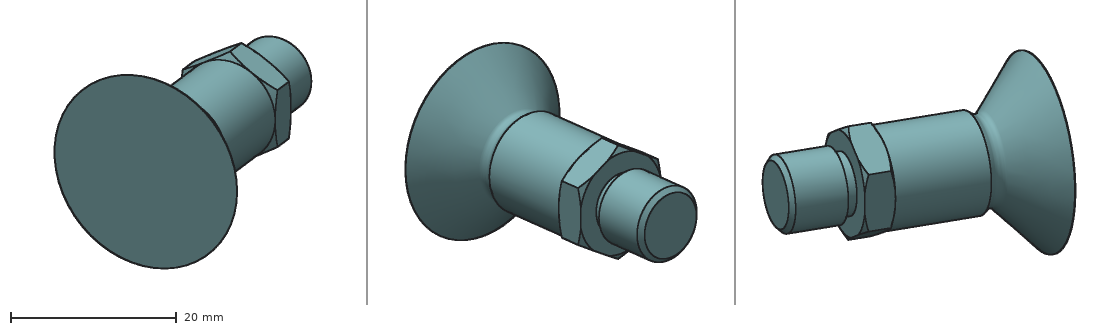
import cadquery as cq
import math

total_length = 34.0

cup_diameter = 25.0
rim_thickness = 0.1

throat_diameter = 11.6
throat_round_radius = 0.92
throat_start_y = 6.9
throat_end_y = 7.25
cup_side_angle = math.radians(45)
body_side_angle = math.radians(36)

body_diameter = 13.0
body_start_y = 8.55
hex_start_y = 21.0
hex_thickness = 4.0
hex_across_flats = body_diameter
hex_chamfer_angle = math.radians(30)
hex_body_face_diameter = 13.0
hex_thread_face_diameter = 13.25

undercut_diameter = 8.0
thread_diameter = 9.72
thread_length = 7.5
thread_chamfer = 0.65

hex_end_y = hex_start_y + hex_thickness
thread_start_y = total_length - thread_length


def throat_round_point(start_y, direction, angle):
    """Point (radius, y) on a throat round, turned by angle from its tangent start."""
    radius = throat_diameter / 2 + throat_round_radius * (1 - math.cos(angle))
    return radius, start_y + direction * throat_round_radius * math.sin(angle)


def revolve_about_y(profile):
    return profile.close().revolve(360, (0, 0, 0), (0, 1, 0))


def make_cup_and_body():
    profile = (
        cq.Workplane("XY")
        .lineTo(cup_diameter / 2, 0)
        .lineTo(cup_diameter / 2, rim_thickness)
        .lineTo(*throat_round_point(throat_start_y, -1, cup_side_angle))
        .threePointArc(
            throat_round_point(throat_start_y, -1, cup_side_angle / 2),
            (throat_diameter / 2, throat_start_y),
        )
        .lineTo(throat_diameter / 2, throat_end_y)
        .threePointArc(
            throat_round_point(throat_end_y, 1, body_side_angle / 2),
            throat_round_point(throat_end_y, 1, body_side_angle),
        )
        .lineTo(body_diameter / 2, body_start_y)
        .lineTo(body_diameter / 2, hex_start_y)
        .lineTo(0, hex_start_y)
    )
    return revolve_about_y(profile)


def make_hexagon():
    """Hexagon with flats facing +/-X and conical chamfers on both faces."""
    corner_radius = hex_across_flats / math.sqrt(3)
    corners = [
        (corner_radius * math.sin(k * math.pi / 3), corner_radius * math.cos(k * math.pi / 3))
        for k in range(6)
    ]
    prism = (
        cq.Workplane("XZ", origin=(0, hex_start_y, 0))
        .polyline(corners)
        .close()
        .extrude(-hex_thickness)
    )
    body_face_radius = hex_body_face_diameter / 2
    thread_face_radius = hex_thread_face_diameter / 2
    slope = math.tan(hex_chamfer_angle)
    envelope = (
        cq.Workplane("XY")
        .moveTo(0, hex_start_y)
        .lineTo(body_face_radius, hex_start_y)
        .lineTo(corner_radius, hex_start_y + (corner_radius - body_face_radius) * slope)
        .lineTo(corner_radius, hex_end_y - (corner_radius - thread_face_radius) * slope)
        .lineTo(thread_face_radius, hex_end_y)
        .lineTo(0, hex_end_y)
    )
    return prism.intersect(revolve_about_y(envelope))


def make_threaded_end():
    profile = (
        cq.Workplane("XY")
        .moveTo(0, hex_end_y)
        .lineTo(undercut_diameter / 2, hex_end_y)
        .lineTo(undercut_diameter / 2, thread_start_y)
        .lineTo(thread_diameter / 2, thread_start_y)
        .lineTo(thread_diameter / 2, total_length - thread_chamfer)
        .lineTo(thread_diameter / 2 - thread_chamfer, total_length)
        .lineTo(0, total_length)
    )
    return revolve_about_y(profile)


result = make_cup_and_body().union(make_hexagon()).union(make_threaded_end())